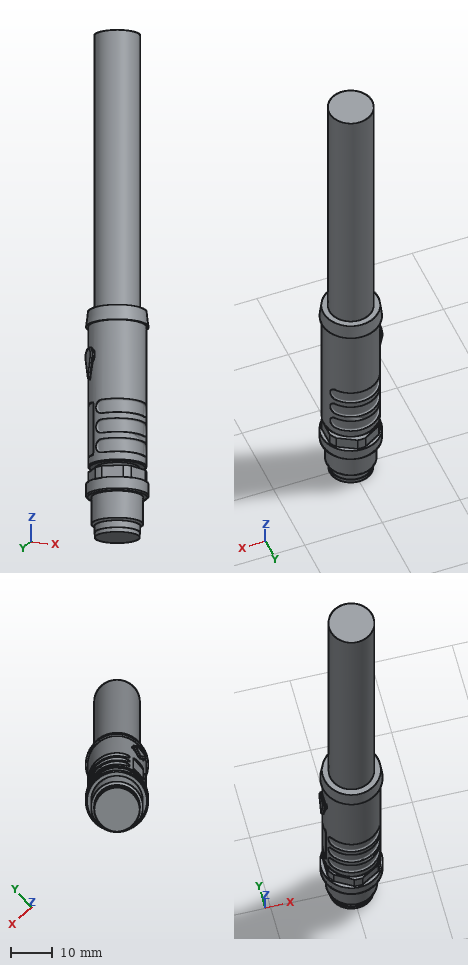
import cadquery as cq
import math

tip_rim_top = 1.1
tip_top = 2.8
barrel_chamfer_top = 3.3
flange_bottom = 9.9
flange_top = 13.1
hex_top = 16.1
grip_bottom = 17.2
ring_bottom = 52.0
ring_top = 55.7
overall_height = 124.02

cable_radius = 5.5
tip_radius = 5.5
tip_rim_radius = 5.4
barrel_radius = 6.2
flange_radius = 7.5
flange_chamfer = 0.35
hex_sides = 6
hex_across_flats = 13.0
hex_corner_radius = 7.0
grip_radius = 7.0
grip_chamfer = 0.3
neck_top_radius = 5.2
neck_bottom_radius = 4.3
ring_top_radius = 7.05
ring_bottom_radius = 7.5

groove_count = 3
groove_pitch = 4.86
groove_height = 3.36
groove_first_z = 21.15
groove_depth = 0.5
groove_end_y = 2.75
groove_floor_fillet = 0.35

panel_width = 3.6
panel_corner_radius = 0.7
panel_x = -6.7

marker_face_x = -7.5
marker_seat_x = -6.5
marker_radius = 2.1
marker_tip_radius = 0.5
marker_top = 46.3
marker_bottom = 38.4
marker_chamfer = 0.36

groove_floor_radius = grip_radius - groove_depth
groove_centres = [groove_first_z + i * groove_pitch for i in range(groove_count)]
groove_mid_z = sum(groove_centres) / groove_count
panel_height = (groove_count - 1) * groove_pitch + groove_height


def cylinder(radius, bottom, top):
    """Upright cylinder on the Z axis between two heights."""
    return cq.Workplane("XY", origin=(0, 0, bottom)).circle(radius).extrude(top - bottom)


def revolved(points):
    """Solid turned about the Z axis from (radius, height) points."""
    return cq.Workplane("XZ").polyline(points).close().revolve(360, (0, 0), (0, 1))


def groove_tool(centre_z, side):
    """Shallow pocket with round ends that follows the curve of the grip; side is +1 or -1 along Y."""
    half = groove_height / 2
    round_centre_y = groove_end_y + half
    far_y = 2 * grip_radius
    prism = (
        cq.Workplane("YZ")
        .moveTo(side * far_y, centre_z - half)
        .lineTo(side * round_centre_y, centre_z - half)
        .threePointArc((side * groove_end_y, centre_z), (side * round_centre_y, centre_z + half))
        .lineTo(side * far_y, centre_z + half)
        .close()
        .extrude(far_y, both=True)
    )
    pocket = prism.cut(cylinder(groove_floor_radius, centre_z - groove_height, centre_z + groove_height))
    floor = pocket.faces(cq.selectors.NearestToPointSelector((0, side * groove_floor_radius, centre_z)))
    return floor.edges().fillet(groove_floor_fillet)


def make_marker():
    """Teardrop prism with a chamfered outer face, round end up and point down."""
    top_z = marker_top - marker_radius
    tip_z = marker_bottom + marker_tip_radius
    lean = math.asin((marker_radius - marker_tip_radius) / (top_z - tip_z))
    round_y = marker_radius * math.cos(lean)
    round_z = top_z - marker_radius * math.sin(lean)
    point_y = marker_tip_radius * math.cos(lean)
    point_z = tip_z - marker_tip_radius * math.sin(lean)
    return (
        cq.Workplane("YZ", origin=(marker_seat_x, 0, 0))
        .moveTo(round_y, round_z)
        .threePointArc((0, marker_top), (-round_y, round_z))
        .lineTo(-point_y, point_z)
        .threePointArc((0, marker_bottom), (point_y, point_z))
        .close()
        .extrude(marker_face_x - marker_seat_x)
        .faces("<X")
        .chamfer(marker_chamfer)
    )


def make_grip(marker):
    """Grip with its tapered neck, finger grooves, panel and the seat of the marker."""
    body = revolved(
        [
            (0, hex_top),
            (neck_bottom_radius, hex_top),
            (neck_top_radius, grip_bottom),
            (grip_radius - grip_chamfer, grip_bottom),
            (grip_radius, grip_bottom + grip_chamfer),
            (grip_radius, ring_bottom),
            (0, ring_bottom),
        ]
    )
    for centre_z in groove_centres:
        for side in (-1, 1):
            body = body.cut(groove_tool(centre_z, side))
    panel = (
        cq.Workplane("YZ", origin=(panel_x, 0, groove_mid_z))
        .rect(panel_width, panel_height)
        .extrude(-grip_radius)
        .edges("|X")
        .fillet(panel_corner_radius)
    )
    return body.cut(panel).cut(marker)


def make_ring():
    """Ring around the cable, widening down to the end of the grip."""
    return revolved(
        [
            (cable_radius, ring_bottom),
            (ring_bottom_radius, ring_bottom),
            (ring_top_radius, ring_top),
            (cable_radius, ring_top),
        ]
    )


def make_nut():
    """Coupling nut: hexagon on top, round flange and barrel below."""
    flange = cylinder(flange_radius, flange_bottom, flange_top).faces("<Z").chamfer(flange_chamfer)
    hexagon = (
        cq.Workplane("XY", origin=(0, 0, flange_top))
        .polygon(hex_sides, hex_across_flats / math.cos(math.pi / hex_sides))
        .extrude(hex_top - flange_top)
        .rotate((0, 0, 0), (0, 0, 1), 180 / hex_sides)
        .intersect(cylinder(hex_corner_radius, flange_top, hex_top))
    )
    barrel = revolved(
        [
            (0, tip_top),
            (tip_radius, tip_top),
            (barrel_radius, barrel_chamfer_top),
            (barrel_radius, flange_bottom),
            (0, flange_bottom),
        ]
    )
    return flange.union(hexagon).union(barrel)


def make_tip():
    """Plug tip below the barrel, slightly slimmer at its end."""
    rim = cylinder(tip_rim_radius, 0, tip_rim_top)
    return rim.union(cylinder(tip_radius, tip_rim_top, tip_top))


cable = cylinder(cable_radius, ring_bottom, overall_height)
marker = make_marker()
grip = make_grip(marker)
ring = make_ring()
nut = make_nut()
tip = make_tip()

result = cq.Compound.makeCompound(
    [cable.val(), ring.val(), grip.val(), marker.val(), nut.val(), tip.val()]
)